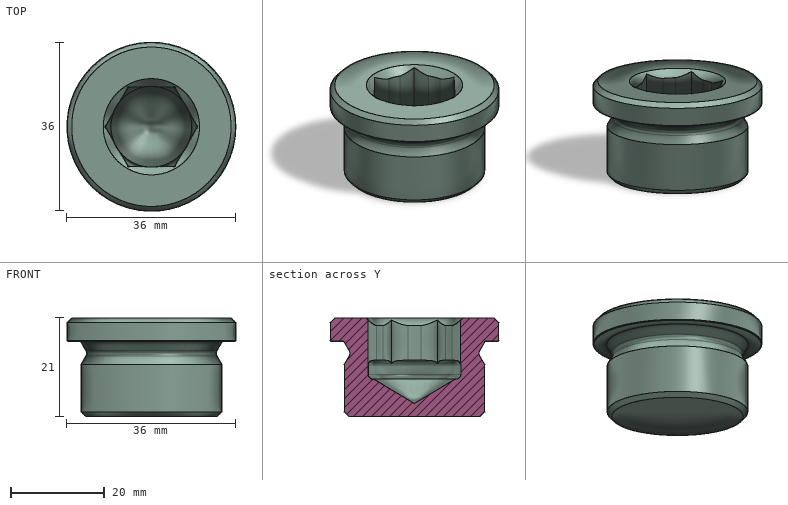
import cadquery as cq
import math

flange_radius = 18.0
plug_diameter = 30.0
plug_radius = plug_diameter / 2
total_height = 21.0
flange_thickness = 5.0
edge_chamfer = 1.0
flange_lower_chamfer = 0.18

neck_radius = 13.65
neck_flank_angle = math.radians(60)
neck_slope = math.tan(neck_flank_angle)
neck_rounding = 1.2
plug_top_height = 11.12

hex_across_flats = 17.0
socket_depth = 9.0
entry_radius = 10.25
entry_depth = 1.62

groove_diameter = 19.7
groove_width = 4.0
groove_rounding = 1.0

drill_radius = 8.6
drill_point_angle = 118.0


def make_body():
    """Turned body with the neck corner rounded."""
    flange_bottom = total_height - flange_thickness
    neck_height = plug_top_height + (plug_radius - neck_radius) * neck_slope
    neck_top_radius = neck_radius + (flange_bottom - neck_height) / neck_slope

    tangent_rise = neck_rounding * math.cos(neck_flank_angle)
    tangent_radius = neck_radius + tangent_rise / neck_slope
    rounding_radius = tangent_radius - neck_rounding * (1 - math.sin(neck_flank_angle))

    profile = (
        cq.Workplane("XZ")
        .lineTo(plug_radius - edge_chamfer, 0)
        .lineTo(plug_radius, edge_chamfer)
        .lineTo(plug_radius, plug_top_height)
        .lineTo(tangent_radius, neck_height - tangent_rise)
        .threePointArc((rounding_radius, neck_height), (tangent_radius, neck_height + tangent_rise))
        .lineTo(neck_top_radius, flange_bottom)
        .lineTo(flange_radius - flange_lower_chamfer, flange_bottom)
        .lineTo(flange_radius, flange_bottom + flange_lower_chamfer)
        .lineTo(flange_radius, total_height - edge_chamfer)
        .lineTo(flange_radius - edge_chamfer, total_height)
        .lineTo(0, total_height)
        .close()
    )
    return profile.revolve(360, (0, 0, 0), (0, 1, 0))


def make_hex_socket():
    """Hexagon with corners on the X axis, running on into the groove so its corners open out."""
    hex_across_corners = hex_across_flats / math.cos(math.radians(30))
    return (
        cq.Workplane("XY", origin=(0, 0, total_height))
        .polygon(6, hex_across_corners)
        .extrude(-socket_depth - groove_width / 2)
    )


def make_groove():
    """Disc with rounded rims that undercuts the hexagon."""
    return (
        cq.Workplane("XY", origin=(0, 0, total_height - socket_depth))
        .circle(groove_diameter / 2)
        .extrude(-groove_width)
        .edges("%CIRCLE")
        .fillet(groove_rounding)
    )


def make_entry_cone():
    """45 degree lead-in at the mouth of the socket."""
    return cq.Workplane(
        cq.Solid.makeCone(
            entry_radius - entry_depth, entry_radius, entry_depth, cq.Vector(0, 0, total_height - entry_depth)
        )
    )


def make_drilled_hole():
    """Round hole with a conical drill point; it also relieves the middle of each hexagon flat."""
    shoulder_height = total_height - socket_depth - groove_width
    tip_depth = drill_radius / math.tan(math.radians(drill_point_angle / 2))
    profile = (
        cq.Workplane("XZ")
        .moveTo(0, shoulder_height - tip_depth)
        .lineTo(drill_radius, shoulder_height)
        .lineTo(drill_radius, total_height)
        .lineTo(0, total_height)
        .close()
    )
    return profile.revolve(360, (0, 0, 0), (0, 1, 0))


result = (
    make_body()
    .cut(make_entry_cone())
    .cut(make_hex_socket())
    .cut(make_groove())
    .cut(make_drilled_hole())
)